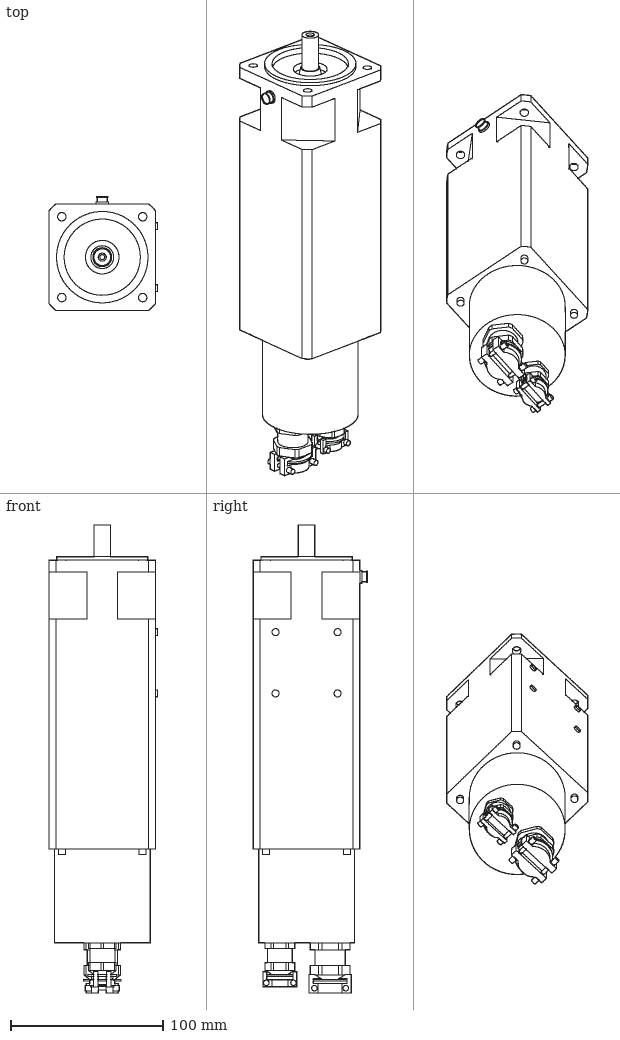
import cadquery as cq
import math


body_width = 70.0
body_corner_dia = 92.8
body_length = 189.7
flange_thickness = 8.0
relief_bottom_depth = 38.7
neck_face_width = 20.2

pilot_dia = 60.0
pilot_height = 2.2
pilot_recess_dia = 50.0
pilot_recess_depth = 4.0
bearing_recess_dia = 22.0
bearing_recess_depth = 4.5
shaft_dia = 11.0
shaft_length = 23.0
shaft_collar_base_dia = 15.0
shaft_collar_top_dia = 12.4
shaft_collar_rise = 1.0
center_hole_mouth_dia = 5.3
center_hole_dia = 3.3
center_hole_depth = 10.0
center_hole_angle = 90.0
bolt_circle_dia = 75.0
bolt_hole_dia = 5.5
bolt_offset = bolt_circle_dia / 2 / math.sqrt(2)

cover_dia = 63.0
cover_bottom_depth = 251.1
cover_screw_dia = 4.6
cover_screw_height = 3.6

plug_depth = 11.0
plug_reach = 4.8
plug_base_dia = 8.5
plug_base_height = 1.2
plug_neck_dia = 6.8
plug_head_dia = 7.6
plug_head_height = 0.6

rivet_dia = 4.6
rivet_height = 1.3
rivet_depths = (47.3, 87.5)
rivet_offset_y = 20.35

overall_height = 307.08
power_gland = dict(
    y=15.4, hex_flats=24.0, hex_corners=26.3, barrel_dia=20.0,
    upper_nut_end=4.6, barrel_end=14.8, lower_nut_end=21.0,
    washer_dia=24.6, washer_start=24.0, washer_end=25.2,
    clamp_length=27.8, clamp_start=20.8,
    clamp_end=overall_height - shaft_length - cover_bottom_depth,
    jaw_inner=2.5, jaw_outer=7.0, bulge_dia=21.2,
    slot_length=22.0, slot_start=23.6, slot_end=26.7,
    screw_offset=10.3, screw_level=29.8, head_reach=11.2,
)
signal_gland = dict(
    y=-17.5, hex_flats=18.0, hex_corners=19.8, barrel_dia=16.4,
    upper_nut_end=3.9, barrel_end=13.0, lower_nut_end=18.2,
    washer_dia=18.8, washer_start=20.8, washer_end=22.0,
    clamp_length=22.2, clamp_start=19.0, clamp_end=28.9,
    jaw_inner=2.9, jaw_outer=5.6, bulge_dia=15.4,
    slot_length=17.0, slot_start=18.9, slot_end=24.2,
    screw_offset=8.9, screw_level=26.3, head_reach=8.3,
)
clamp_screw_dia = 2.6
clamp_head_dia = 3.6
funnel_inset = 3.5


def cylinder(diameter, z_low, z_high, x=0.0, y=0.0):
    """Upright cylinder between two Z levels."""
    base = cq.Workplane("XY", origin=(x, y, z_low))
    return base.circle(diameter / 2).extrude(z_high - z_low)


def cone(bottom_dia, top_dia, z_low, z_high):
    """Upright truncated cone between two Z levels, centred on the Z axis."""
    base = cq.Workplane("XY", origin=(0, 0, z_low)).circle(bottom_dia / 2)
    return base.workplane(offset=z_high - z_low).circle(top_dia / 2).loft()


def block(length_x, length_y, z_low, z_high, x=0.0, y=0.0):
    """Box centred at (x, y) between two Z levels."""
    base = cq.Workplane("XY", origin=(x, y, z_low))
    return base.rect(length_x, length_y).extrude(z_high - z_low)


def x_cylinder(diameter, half_length, y, z):
    """Cylinder along X, centred on the YZ plane."""
    base = cq.Workplane("YZ", origin=(-half_length, y, z))
    return base.circle(diameter / 2).extrude(2 * half_length)


def y_cylinder(diameter, y_low, y_high, z):
    """Cylinder along Y between two Y levels, at X = 0."""
    base = cq.Workplane("XZ", origin=(0, y_low, z))
    return base.circle(diameter / 2).extrude(y_low - y_high)


def make_housing():
    """Square housing with rounded corners, relieved diagonally behind the flange."""
    housing = block(body_width, body_width, -body_length, 0)
    housing = housing.intersect(cylinder(body_corner_dia, -body_length, 0))
    half_width = body_width / 2
    half_neck = neck_face_width / 2
    for sx in (-1, 1):
        for sy in (-1, 1):
            relief = (
                cq.Workplane("XY", origin=(0, 0, -relief_bottom_depth))
                .moveTo(sx * half_neck, sy * half_width)
                .lineTo(sx * half_width, sy * half_width)
                .lineTo(sx * half_width, sy * half_neck)
                .close()
                .extrude(relief_bottom_depth - flange_thickness)
            )
            bolt_hole = cylinder(
                bolt_hole_dia, -flange_thickness, 0, sx * bolt_offset, sy * bolt_offset,
            )
            housing = housing.cut(relief).cut(bolt_hole)
    return housing


def add_pilot_and_shaft(part):
    """Raised pilot with stepped recess, and the shaft standing in it."""
    recess_floor = pilot_height - pilot_recess_depth
    bearing_floor = recess_floor - bearing_recess_depth
    part = part.union(cylinder(pilot_dia, 0, pilot_height))
    part = part.cut(cylinder(pilot_recess_dia, recess_floor, pilot_height))
    part = part.cut(cylinder(bearing_recess_dia, bearing_floor, recess_floor))
    part = part.union(cone(shaft_collar_base_dia, shaft_collar_top_dia,
                           bearing_floor, recess_floor + shaft_collar_rise))
    part = part.union(cylinder(shaft_dia, bearing_floor, shaft_length))
    return (
        part.faces(">Z").workplane(origin=(0, 0, shaft_length))
        .cskHole(center_hole_dia, center_hole_mouth_dia, center_hole_angle, center_hole_depth)
    )


def add_rear_cover(part):
    """Round rear cover and the four screw ends around it."""
    part = part.union(cylinder(cover_dia, -cover_bottom_depth, -body_length))
    for sx in (-1, 1):
        for sy in (-1, 1):
            part = part.union(cylinder(
                cover_screw_dia, -body_length - cover_screw_height, -body_length,
                sx * bolt_offset, sy * bolt_offset,
            ))
    return part


def make_plug():
    """Headed plug standing on the +Y face."""
    face_y = body_width / 2
    end_y = face_y + plug_reach
    neck = y_cylinder(plug_neck_dia, face_y, end_y, -plug_depth)
    base = y_cylinder(plug_base_dia, face_y, face_y + plug_base_height, -plug_depth)
    head = y_cylinder(plug_head_dia, end_y - plug_head_height, end_y, -plug_depth)
    return neck.union(base).union(head)


def make_rivets():
    """Four flat rivets on the +X face."""
    centers = [(sy * rivet_offset_y, -depth) for sy in (-1, 1) for depth in rivet_depths]
    face = cq.Workplane("YZ", origin=(body_width / 2, 0, 0))
    return face.pushPoints(centers).circle(rivet_dia / 2).extrude(rivet_height)


def make_nut(gland, start, end):
    """Hexagon nut with its corners turned down, flats facing +X and -X."""
    across_points = gland["hex_flats"] / math.cos(math.pi / 6)
    hexagon = (
        cq.Workplane("XY", origin=(0, 0, -end))
        .transformed(rotate=(0, 0, 90))
        .polygon(6, across_points)
        .extrude(end - start)
    )
    return hexagon.intersect(cylinder(gland["hex_corners"], -end, -start))


def make_clamp(gland):
    """Two facing strain-relief jaws with bulged middles, held by two screws along X."""
    start, end = gland["clamp_start"], gland["clamp_end"]
    slot_end = gland["slot_end"]
    plate = block(2 * gland["jaw_outer"], gland["clamp_length"], -end, -start)
    slot = block(2 * gland["jaw_outer"], gland["slot_length"], -slot_end, -gland["slot_start"])
    gap = block(2 * gland["jaw_inner"], gland["clamp_length"], -end, -start)
    between_heads = block(2 * gland["jaw_outer"], 2 * gland["clamp_length"], -end, -start)
    bulge = cylinder(gland["bulge_dia"], -end, -slot_end)
    clamp = plate.cut(slot).union(bulge).cut(gap)
    for side in (-1, 1):
        screw_y = side * gland["screw_offset"]
        shank = x_cylinder(clamp_screw_dia, gland["head_reach"], screw_y, -gland["screw_level"])
        head = x_cylinder(clamp_head_dia, gland["head_reach"], screw_y, -gland["screw_level"])
        clamp = clamp.union(shank).union(head.cut(between_heads))
    return clamp


def make_gland(gland):
    """Cable gland hanging below the rear cover: nuts, barrel, funnel, washer and clamp."""
    mouth_dia = gland["hex_flats"] - 2 * funnel_inset
    funnel = cone(mouth_dia, gland["hex_flats"], -gland["washer_start"], -gland["lower_nut_end"])
    body = cylinder(gland["barrel_dia"], -gland["barrel_end"], 0)
    body = body.union(make_nut(gland, 0, gland["upper_nut_end"]))
    body = body.union(make_nut(gland, gland["barrel_end"], gland["lower_nut_end"]))
    body = body.union(funnel)
    body = body.union(cylinder(gland["washer_dia"], -gland["washer_end"], -gland["washer_start"]))
    body = body.union(make_clamp(gland))
    return body.translate((0, gland["y"], -cover_bottom_depth))


result = make_housing()
result = add_pilot_and_shaft(result)
result = add_rear_cover(result)
result = result.union(make_plug()).union(make_rivets())
result = result.union(make_gland(power_gland)).union(make_gland(signal_gland))